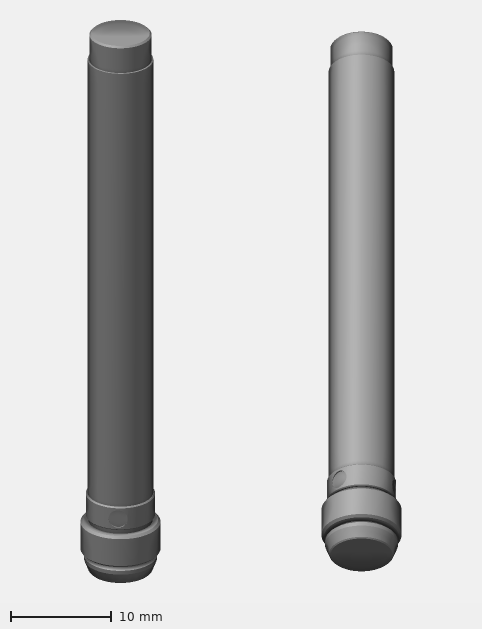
import cadquery as cq

total_height = 59.5
base_height = 8.55
exposed_core = 2.9

core_radius = 3.1
core_chamfer = 0.2
sleeve_radius = 3.3

collar_radius = 3.45
collar_bottom = 6.0
collar_chamfer = 0.1
collar_neck_radius = 3.2
ring_radius = 4.0
ring_bottom = 2.1
ring_top = 5.55
ring_chamfer = 0.25
foot_neck_radius = 3.1
foot_radius = 3.6
foot_bottom_radius = 3.2
foot_chamfer = 0.1
foot_band_bottom = 1.2
foot_band_top = 1.6
foot_top = 2.0

recess_count = 3
recess_radius = 0.95
recess_depth = 0.2
recess_start_angle = 74.5
recess_height = 7.25


def cylinder(radius, bottom, top):
    """Cylinder on the Z axis between two heights."""
    return cq.Workplane("XY").workplane(offset=bottom).circle(radius).extrude(top - bottom)


def make_core():
    """Plain rod standing on the base, chamfered at its free end."""
    rod = cylinder(core_radius, base_height, total_height)
    return rod.faces(">Z").chamfer(core_chamfer)


def make_sleeve():
    """Thin tube around the core, ending short of its tip."""
    sleeve_top = total_height - exposed_core
    outside = cylinder(sleeve_radius, base_height, sleeve_top)
    return outside.cut(cylinder(core_radius, base_height, sleeve_top))


def make_base_blank():
    """Turned base, revolved from its half profile (radius, height)."""
    profile = [
        (0, 0),
        (foot_bottom_radius - foot_chamfer, 0),
        (foot_bottom_radius, foot_chamfer),
        (foot_radius, foot_band_bottom),
        (foot_radius, foot_band_top),
        (foot_neck_radius, foot_top),
        (foot_neck_radius, ring_bottom),
        (ring_radius - ring_chamfer, ring_bottom),
        (ring_radius, ring_bottom + ring_chamfer),
        (ring_radius, ring_top - ring_chamfer),
        (ring_radius - ring_chamfer, ring_top),
        (collar_neck_radius, ring_top),
        (collar_neck_radius, collar_bottom),
        (collar_radius - collar_chamfer, collar_bottom),
        (collar_radius, collar_bottom + collar_chamfer),
        (collar_radius, base_height - collar_chamfer),
        (collar_radius - collar_chamfer, base_height),
        (0, base_height),
    ]
    return cq.Workplane("XZ").polyline(profile).close().revolve(360, (0, 0, 0), (0, 1, 0))


def make_recess_cutter(angle):
    """Radial cylinder that leaves a flat floor below the collar surface."""
    floor = collar_radius - recess_depth
    cutter = cq.Workplane("YZ").workplane(offset=floor).center(0, recess_height)
    cutter = cutter.circle(recess_radius).extrude(2 * recess_depth)
    return cutter.rotate((0, 0, 0), (0, 0, 1), angle)


def make_base():
    """Turned base with recesses evenly spaced around the collar."""
    base = make_base_blank()
    for index in range(recess_count):
        angle = recess_start_angle + index * 360 / recess_count
        base = base.cut(make_recess_cutter(angle))
    return base


core = make_core()
sleeve = make_sleeve()
base = make_base()

result = cq.Compound.makeCompound([core.val(), sleeve.val(), base.val()])